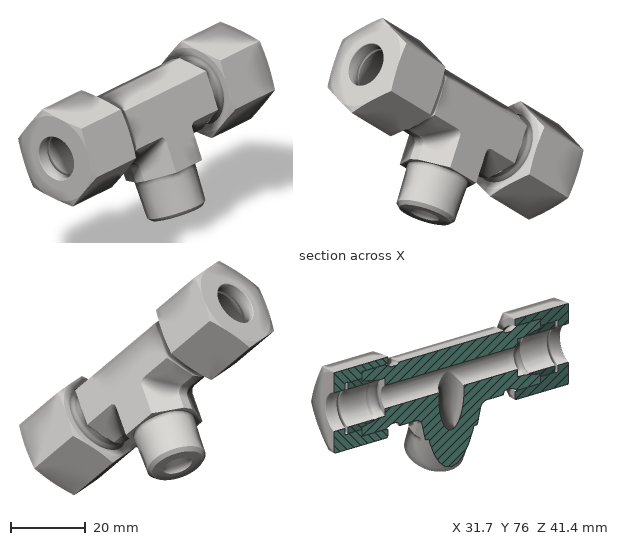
import cadquery as cq
import math

BRANCH_TILT = 22.5
BORE_D = 8.0
TUBE_D = 12.0

BODY_FLATS = 19.0
BODY_HALF_LENGTH = 17.0
EDGE_FLAT = 10.1
BRANCH_HEX_END = 16.0
JUNCTION_FILLET = 2.0

STUD_END = 28.0
STUD_ROOT_R = 8.57
STUD_TAPER = 1 / 32
STUD_CHAMFER = 1.0

THREAD_D = 20.0
UNDERCUT_D = 17.7
UNDERCUT_FILLET = 0.8
UNDERCUT_LENGTH = 2.3
RUNOUT_ANGLE = 30.0
THREAD_END = 29.0
SOCKET_FLOOR = 21.5
CONE_MOUTH_D = 14.3
CONE_HALF_ANGLE = 12.0

RING_OUTER_D = 16.0
RING_TIP = 25.0
RING_BACK = 33.6

NUT_FLATS = 24.0
NUT_INNER_FACE = 20.5
NUT_OUTER_FACE = 38.0
NUT_BORE_D = 12.2
NUT_BORE_CHAMFER = 0.15
NUT_LIP_INNER_FACE = 34.4
NUT_CHAMFER_ANGLE = 15.0


def hexagon_corner(across_flats):
    """Distance from the centre of a hexagon to its corners."""
    return across_flats / math.sqrt(3)


def hexagon_bar(across_flats, start, end):
    """Hexagonal bar along Y with two corners on the branch axis (+Z and -Z)."""
    return (
        cq.Workplane("XZ", origin=(0, start, 0))
        .transformed(rotate=(0, 0, 90))
        .polygon(6, 2 * hexagon_corner(across_flats))
        .extrude(-(end - start))
    )


def revolve_about_run(profile):
    """Revolve a closed (radius, y) profile, drawn in the XY plane, about the Y axis."""
    return profile.close().revolve(360, (0, 0, 0), (0, 1, 0))


def cylinder_along_run(diameter, start, end):
    return cq.Workplane("XZ", origin=(0, start, 0)).circle(diameter / 2).extrude(-(end - start))


def cone_radius(y):
    """Radius of the 24 degree sealing cone at position y."""
    return CONE_MOUTH_D / 2 - (THREAD_END - y) * math.tan(math.radians(CONE_HALF_ANGLE))


def tilt(body):
    """Swing the branch from straight down toward +X."""
    return body.rotate((0, 0, 0), (0, 1, 0), -BRANCH_TILT)


def make_forging():
    """Hexagonal run and hexagonal branch, each with its two outer edges cut flat."""
    run = hexagon_bar(BODY_FLATS, -BODY_HALF_LENGTH, BODY_HALF_LENGTH)
    run_limit = cq.Workplane("XY").box(2 * BODY_FLATS, 2 * BODY_HALF_LENGTH, 2 * EDGE_FLAT)
    branch = (
        cq.Workplane("XY")
        .transformed(rotate=(0, 0, 90))
        .polygon(6, 2 * hexagon_corner(BODY_FLATS))
        .extrude(-BRANCH_HEX_END)
    )
    branch_limit = cq.Workplane("XY").box(2 * BODY_FLATS, 2 * EDGE_FLAT, 2 * BRANCH_HEX_END)
    forging = run.intersect(run_limit).union(branch.intersect(branch_limit))

    reach = hexagon_corner(BODY_FLATS)
    margin = 0.1
    junction = cq.selectors.BoxSelector(
        (-BODY_FLATS, -reach - margin, -reach - margin),
        (BODY_FLATS, reach + margin, -reach / 2 - margin),
    )
    return forging.edges(junction).edges("not |Z").fillet(JUNCTION_FILLET)


def make_stud():
    """Tapered stud with a 45 degree end chamfer."""
    chamfer_start = STUD_END - STUD_CHAMFER
    end_r = STUD_ROOT_R - STUD_TAPER * (chamfer_start - BRANCH_HEX_END)
    return (
        cq.Workplane("XZ")
        .lineTo(STUD_ROOT_R, 0)
        .lineTo(STUD_ROOT_R, -BRANCH_HEX_END)
        .lineTo(end_r, -chamfer_start)
        .lineTo(end_r - STUD_CHAMFER, -STUD_END)
        .lineTo(0, -STUD_END)
        .close()
        .revolve(360, (0, 0, 0), (0, 1, 0))
    )


def make_run_end():
    """Undercut neck and thread at the +Y end of the body."""
    neck_r = UNDERCUT_D / 2
    thread_r = THREAD_D / 2
    face = BODY_HALF_LENGTH
    runout = face + UNDERCUT_LENGTH
    angle = math.radians(RUNOUT_ANGLE)
    arc_r = neck_r + UNDERCUT_FILLET * (1 - math.cos(angle))
    arc_y = runout + UNDERCUT_FILLET * math.sin(angle)
    thread_start = arc_y + (thread_r - arc_r) / math.tan(angle)
    return revolve_about_run(
        cq.Workplane("XY")
        .lineTo(neck_r, 0)
        .lineTo(neck_r, face)
        .lineTo(neck_r + UNDERCUT_FILLET, face)
        .radiusArc((neck_r, face + UNDERCUT_FILLET), UNDERCUT_FILLET)
        .lineTo(neck_r, runout)
        .radiusArc((arc_r, arc_y), UNDERCUT_FILLET)
        .lineTo(thread_r, thread_start)
        .lineTo(thread_r, THREAD_END)
        .lineTo(0, THREAD_END)
    )


def make_socket():
    """Tube socket and sealing cone cut into the +Y end of the body."""
    tube_r = TUBE_D / 2
    cone_depth = (CONE_MOUTH_D - TUBE_D) / 2 / math.tan(math.radians(CONE_HALF_ANGLE))
    return revolve_about_run(
        cq.Workplane("XY")
        .moveTo(0, SOCKET_FLOOR)
        .lineTo(tube_r, SOCKET_FLOOR)
        .lineTo(tube_r, THREAD_END - cone_depth)
        .lineTo(CONE_MOUTH_D / 2, THREAD_END)
        .lineTo(0, THREAD_END)
    )


def make_tee_body():
    body = make_forging().union(make_stud())
    run_end = make_run_end()
    socket = make_socket()
    body = body.union(run_end).union(run_end.mirror("XZ"))
    body = body.cut(socket).cut(socket.mirror("XZ"))
    body = body.cut(cylinder_along_run(BORE_D, -THREAD_END, THREAD_END))
    return body.cut(cq.Workplane("XY").circle(BORE_D / 2).extrude(-STUD_END))


def make_cutting_ring():
    """Ring with a collar behind the body and a tapered nose in the sealing cone."""
    return revolve_about_run(
        cq.Workplane("XY")
        .moveTo(TUBE_D / 2, RING_TIP)
        .lineTo(cone_radius(RING_TIP), RING_TIP)
        .lineTo(CONE_MOUTH_D / 2, THREAD_END)
        .lineTo(RING_OUTER_D / 2, THREAD_END)
        .lineTo(RING_OUTER_D / 2, RING_BACK)
        .lineTo(TUBE_D / 2, RING_BACK)
    )


def make_nut():
    """Hexagonal nut with chamfered corners, over the thread and the ring."""
    corner_r = hexagon_corner(NUT_FLATS)
    face_r = NUT_FLATS / 2
    chamfer = (corner_r - face_r) * math.tan(math.radians(NUT_CHAMFER_ANGLE))
    envelope = revolve_about_run(
        cq.Workplane("XY")
        .moveTo(0, NUT_INNER_FACE)
        .lineTo(face_r, NUT_INNER_FACE)
        .lineTo(corner_r, NUT_INNER_FACE + chamfer)
        .lineTo(corner_r, NUT_OUTER_FACE - chamfer)
        .lineTo(face_r, NUT_OUTER_FACE)
        .lineTo(0, NUT_OUTER_FACE)
    )
    nut = hexagon_bar(NUT_FLATS, NUT_INNER_FACE, NUT_OUTER_FACE).intersect(envelope)
    nut = nut.cut(cylinder_along_run(THREAD_D, NUT_INNER_FACE, THREAD_END))
    nut = nut.cut(cylinder_along_run(RING_OUTER_D, THREAD_END, NUT_LIP_INNER_FACE))
    nut = nut.cut(cylinder_along_run(NUT_BORE_D, NUT_LIP_INNER_FACE, NUT_OUTER_FACE))
    bore_mouth = nut.faces(">Y").edges("%CIRCLE").edges(cq.selectors.RadiusNthSelector(0))
    return bore_mouth.chamfer(NUT_BORE_CHAMFER)


tee_body = tilt(make_tee_body()).solids()
ring = tilt(make_cutting_ring()).solids()
nut = tilt(make_nut()).solids()

bodies = [tee_body.val()]
for end_part in (ring, nut):
    bodies.append(end_part.val())
    bodies.append(end_part.mirror("XZ").val())

result = cq.Compound.makeCompound(bodies)